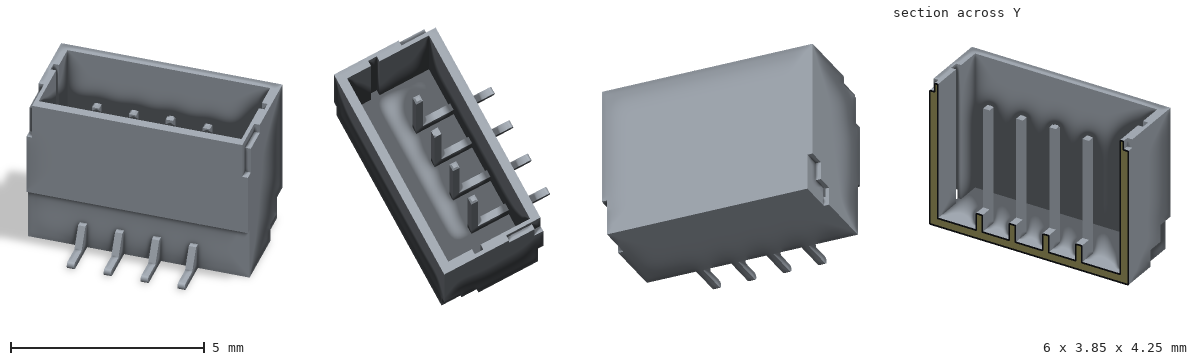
import cadquery as cq

WIDTH = 6.0
DEPTH = 2.9
HEIGHT = 4.25
WALL = 0.25
FLOOR = 0.25

SETBACK = 0.15
SETBACK_TOP = 1.5

SIDE_STEP = 0.15
NOTCH_LEG = 1.0
NOTCH_BAND = WALL

RECESS_LONG = 1.0
RECESS_SHORT = RECESS_LONG / 2

GROOVE_SKIN = 0.1
GROOVE_FRONT = 1.7
GROOVE_REAR = 1.95

PIN_COUNT = 4
PITCH = WIDTH / (PIN_COUNT + 2)
PIN_SIZE = 0.2
PIN_TOP = 3.75
POST_FRONT = 1.15
POST_REAR = POST_FRONT + PIN_SIZE
TIP_CHAMFER = 0.05
ARM_TOP = 0.75
FOOT_END = 0.955
SLOPE_END = 0.32
TOE_RADIUS = PIN_SIZE / 2
PIN_CENTRES = [(i - (PIN_COUNT - 1) / 2) * PITCH for i in range(PIN_COUNT)]

COLLAR_CENTRE = PIN_CENTRES[2]
COLLAR_NICK = 0.04


def box(x_range, y_range, z_range):
    """Axis-aligned box given by its low and high limits on each axis."""
    sizes = [high - low for low, high in (x_range, y_range, z_range)]
    corner = (x_range[0], y_range[0], z_range[0])
    return cq.Workplane("XY").box(*sizes, centered=False).translate(corner)


def side_profile(points, x_start, thickness):
    """Extrude a closed (y, z) outline along +X from x_start."""
    return cq.Workplane("YZ", origin=(x_start, 0, 0)).polyline(points).close().extrude(thickness)


def mirrored_pair(solid):
    """The solid together with its mirror image across X = 0."""
    return solid.union(solid.mirror("YZ"))


def make_shell():
    """Open-topped box with a thin floor and a set-back lower front face."""
    outline = [
        (SETBACK, 0),
        (DEPTH, 0),
        (DEPTH, HEIGHT),
        (0, HEIGHT),
        (0, SETBACK_TOP),
        (SETBACK, SETBACK_TOP),
    ]
    shell = side_profile(outline, -WIDTH / 2, WIDTH)
    inner = WIDTH / 2 - WALL
    return shell.cut(box((-inner, inner), (WALL, DEPTH - WALL), (FLOOR, HEIGHT)))


def make_grooves():
    """Vertical grooves in the end walls, from the floor to the rim."""
    groove = box(
        (-WIDTH / 2 + GROOVE_SKIN, -WIDTH / 2 + WALL),
        (GROOVE_FRONT, GROOVE_REAR),
        (FLOOR, HEIGHT),
    )
    return mirrored_pair(groove)


def make_corner_notches():
    """L-shaped notches along the rim and down the front edge of each end wall."""
    outline = [
        (0, HEIGHT),
        (NOTCH_LEG, HEIGHT),
        (NOTCH_LEG, HEIGHT - NOTCH_BAND),
        (NOTCH_BAND, HEIGHT - NOTCH_BAND),
        (NOTCH_BAND, HEIGHT - NOTCH_LEG),
        (0, HEIGHT - NOTCH_LEG),
    ]
    return mirrored_pair(side_profile(outline, -WIDTH / 2, SIDE_STEP))


def make_rear_recesses():
    """Stepped recesses at the rear bottom of each end wall; they break into the grooves."""
    outline = [
        (DEPTH, 0),
        (DEPTH - RECESS_LONG, 0),
        (DEPTH - RECESS_LONG, RECESS_SHORT),
        (DEPTH - RECESS_SHORT, RECESS_SHORT),
        (DEPTH - RECESS_SHORT, RECESS_LONG),
        (DEPTH, RECESS_LONG),
    ]
    return mirrored_pair(side_profile(outline, -WIDTH / 2, SIDE_STEP))


def pin_span(x_centre):
    """X limits of the pin centred at x_centre."""
    return (x_centre - PIN_SIZE / 2, x_centre + PIN_SIZE / 2)


def make_post(x_centre):
    """Square contact post with a tapered tip."""
    post = box(pin_span(x_centre), (POST_FRONT, POST_REAR), (0, PIN_TOP))
    return post.faces(">Z").chamfer(TIP_CHAMFER)


def make_arm(x_centre):
    """Flat blade from the post through the front wall, ending in a round-nosed solder foot."""
    toe_centre = -FOOT_END + TOE_RADIUS
    return (
        cq.Workplane("YZ", origin=(pin_span(x_centre)[0], 0, 0))
        .moveTo(POST_REAR, 0)
        .lineTo(POST_REAR, ARM_TOP)
        .lineTo(0, ARM_TOP)
        .lineTo(-SLOPE_END, PIN_SIZE)
        .lineTo(toe_centre, PIN_SIZE)
        .threePointArc((-FOOT_END, TOE_RADIUS), (toe_centre, 0))
        .close()
        .extrude(PIN_SIZE)
    )


def make_pin(x_centre):
    """One terminal, made of a post and an arm."""
    return make_arm(x_centre).union(make_post(x_centre))


def make_connector():
    """Housing with its row of pins, in one piece."""
    body = make_shell()
    body = body.cut(make_grooves())
    body = body.cut(make_corner_notches())
    body = body.cut(make_rear_recesses())
    for x_centre in PIN_CENTRES:
        body = body.union(make_pin(x_centre))
    return body


def make_tip_collar():
    """Collar around the tapered tip of one pin, flush with the top and sides of its post."""
    x_low, x_high = pin_span(COLLAR_CENTRE)
    z_range = (PIN_TOP - TIP_CHAMFER, PIN_TOP)
    nick_depth = (POST_REAR - COLLAR_NICK, POST_REAR)
    collar = box((x_low, x_high), (POST_FRONT, POST_REAR), z_range)
    collar = collar.cut(box((x_low, x_low + COLLAR_NICK), nick_depth, z_range))
    collar = collar.cut(box((x_high - COLLAR_NICK, x_high), nick_depth, z_range))
    return collar.cut(make_post(COLLAR_CENTRE))


connector = make_connector()
tip_collar = make_tip_collar()

result = cq.Compound.makeCompound([connector.val(), tip_collar.val()])